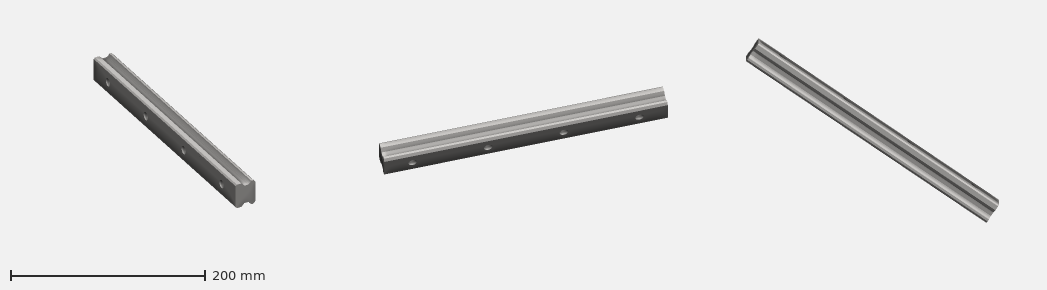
import cadquery as cq
import math

length = 300.0
depth = 23.0
height = 28.0
front = -depth / 2
back = depth / 2
half_height = height / 2

front_chamfer = 1.5
back_chamfer = 2.5

groove_depth = 3.5
lip_end = 4.8
curve_end = 7.2
curve_drop = 3.0
floor_start = 8.5
floor_end = 13.0
curve_sag = 0.3

hole_diameter = 9.0
hole_count = 4
end_margin = 30.0
hole_pitch = (length - 2 * end_margin) / (hole_count - 1)


def upper_profile():
    """Upper half of the cross-section as (Y, Z), with one concave groove flank."""
    lip = (back - lip_end, half_height)
    floor_back = (back - floor_start, half_height - groove_depth)
    curve_foot = (back - curve_end, half_height - curve_drop)
    floor_front = (back - floor_end, half_height - groove_depth)
    flank_top = (floor_front[0] - groove_depth, half_height)

    run = lip[0] - curve_foot[0]
    chord = math.hypot(run, curve_drop)
    curve_middle = (
        (lip[0] + curve_foot[0]) / 2 + curve_sag * curve_drop / chord,
        (lip[1] + curve_foot[1]) / 2 - curve_sag * run / chord,
    )
    return (
        cq.Workplane("YZ", origin=(-length / 2, 0, 0))
        .moveTo(front, 0)
        .lineTo(front, half_height - front_chamfer)
        .lineTo(front + front_chamfer, half_height)
        .lineTo(*flank_top)
        .lineTo(*floor_front)
        .lineTo(*floor_back)
        .lineTo(*curve_foot)
        .threePointArc(curve_middle, lip)
        .lineTo(back - back_chamfer, half_height)
        .lineTo(back, half_height - back_chamfer)
        .lineTo(back, 0)
        .close()
    )


def make_rail():
    """Extrude the upper half and mirror it about the mid-plane."""
    upper_half = upper_profile().extrude(length)
    return upper_half.union(upper_half.mirror("XY")).clean()


def make_holes():
    """Row of evenly spaced through holes along the rail."""
    return (
        cq.Workplane("XZ", origin=(0, back, 0))
        .rarray(hole_pitch, 3, hole_count, 1)
        .circle(hole_diameter / 2)
        .extrude(depth)
    )


result = make_rail().cut(make_holes())